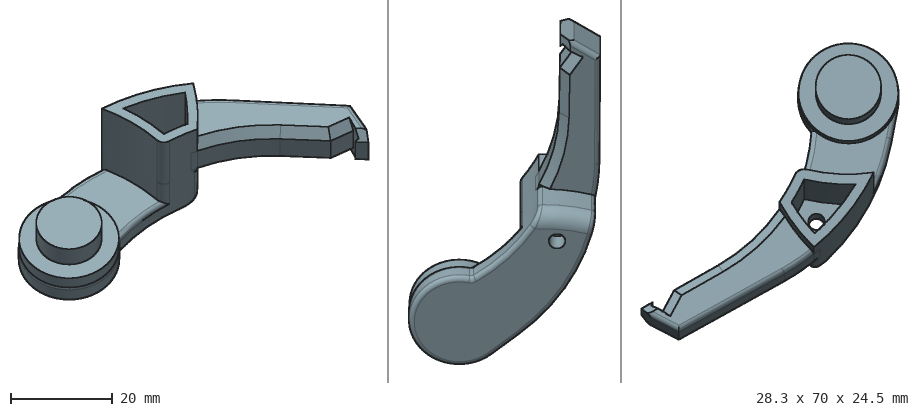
import cadquery as cq
import math


BOSS_RADIUS = 9.95
FLANGE_RADIUS = 9.8
PIN_RADIUS = 6.45
FOOT_HEIGHT = 5.05
FLANGE_TOP = 7.55
PIN_TOP = 12.6

OUTER_RADIUS = 43.7
OUTER_CENTER = (30.15, 16.8)
INNER_RADIUS = 37.1
INNER_CENTER = (36.95, 24.85)

COLUMN_TOP = 24.5
COLUMN_OUTER_Y = (15.0, 33.7)
COLUMN_INNER_Y = (21.0, 28.8)
COLUMN_LOWER_MID = (-7.6, 18.5)
COLUMN_UPPER_MID = (-4.9, 31.7)
COLUMN_CORNER = 1.95
WALL = 2.0
HEEL_RADIUS = 3.5
HOLE_RADIUS = 1.6
HOLE_CENTER = (-6.4, 25.5)

ARM_BOTTOM = 9.9
ARM_TOP = 19.4
ARM_ROOT_DEPTH = 1.4
ARM_OUTER_BEND_Y = 40.0
ARM_INNER_BEND_Y = 44.4
TIP_Y = 70 - BOSS_RADIUS
TIP_CORNER_X = 5.95
NOTCH_X = 10.8
NOTCH_Y = (52.9, 58.0)
HOOK_CREST_X = 12.2
HOOK_POINT = (14.75, 59.2)
HOOK_BARB = (13.35, 56.95)
HOOK_THROAT = (13.2, 57.8)
ARM_CHAMFER = 1.95

EDGE_ROUND = 1.05
CREASE_RADIUS = 1.05

COLUMN_SPLIT = ARM_BOTTOM + EDGE_ROUND


def point_on_side(center, radius, y):
    """Point at height y on the -X half of a circle."""
    return (center[0] - math.sqrt(radius**2 - (y - center[1])**2), y)


def outer(y):
    return point_on_side(OUTER_CENTER, OUTER_RADIUS, y)


def inner(y):
    return point_on_side(INNER_CENTER, INNER_RADIUS, y)


def side_arc(sketch, side, start_y, end_y):
    return sketch.threePointArc(side((start_y + end_y) / 2), side(end_y))


def midpoint(start, end):
    return ((start[0] + end[0]) / 2, (start[1] + end[1]) / 2)


def edges_near(body, points):
    """Select the edge of the body nearest to each point."""
    edges = [body.edges(cq.selectors.NearestToPointSelector(point)).val() for point in points]
    return body.newObject(edges)


def column_outline():
    sketch = cq.Workplane("XY").moveTo(*outer(COLUMN_OUTER_Y[0]))
    sketch = side_arc(sketch, outer, *COLUMN_OUTER_Y)
    sketch = sketch.threePointArc(COLUMN_UPPER_MID, inner(COLUMN_INNER_Y[1]))
    sketch = side_arc(sketch, inner, COLUMN_INNER_Y[1], COLUMN_INNER_Y[0])
    return sketch.threePointArc(COLUMN_LOWER_MID, outer(COLUMN_OUTER_Y[0])).close()


def make_column(height):
    column = column_outline().extrude(height)
    return edges_near(column, [(*inner(COLUMN_INNER_Y[0]), height / 2)]).fillet(COLUMN_CORNER)


def make_foot():
    center_distance = math.hypot(*OUTER_CENTER)
    tangent_angle = math.atan2(OUTER_CENTER[1], OUTER_CENTER[0]) - math.acos(
        (OUTER_RADIUS - BOSS_RADIUS) / center_distance
    )
    arc_end_y = OUTER_CENTER[1] - OUTER_RADIUS * math.sin(tangent_angle)
    boss_tangent = (-BOSS_RADIUS * math.cos(tangent_angle), -BOSS_RADIUS * math.sin(tangent_angle))

    span = math.hypot(*INNER_CENTER)
    along = (span**2 + BOSS_RADIUS**2 - INNER_RADIUS**2) / (2 * span)
    meet_angle = math.atan2(INNER_CENTER[1], INNER_CENTER[0]) + math.acos(along / BOSS_RADIUS)
    boss_meet = (BOSS_RADIUS * math.cos(meet_angle), BOSS_RADIUS * math.sin(meet_angle))

    root_outer_y = COLUMN_OUTER_Y[0] + WALL
    root_inner_y = COLUMN_INNER_Y[0] + WALL
    sketch = cq.Workplane("XY").moveTo(*outer(root_outer_y))
    sketch = side_arc(sketch, outer, root_outer_y, arc_end_y)
    sketch = sketch.lineTo(*boss_tangent)
    sketch = sketch.threePointArc((BOSS_RADIUS, 0), boss_meet)
    sketch = side_arc(sketch, inner, boss_meet[1], root_inner_y)
    foot = sketch.close().extrude(FOOT_HEIGHT)
    foot = edges_near(foot, [(*boss_meet, FOOT_HEIGHT / 2)]).fillet(CREASE_RADIUS)
    return edges_near(foot, [(BOSS_RADIUS, 0, FOOT_HEIGHT)]).fillet(EDGE_ROUND)


def make_base():
    """Foot and lower part of the column, with a rounded heel and rounded edges."""
    base = make_foot().union(make_column(COLUMN_SPLIT))
    base = edges_near(base, [(*COLUMN_UPPER_MID, 0)]).fillet(HEEL_RADIUS)
    return base.faces("<Z").edges().fillet(EDGE_ROUND)


def make_pivot():
    flange = cq.Workplane("XY").workplane(offset=FOOT_HEIGHT / 2).circle(FLANGE_RADIUS)
    flange = flange.extrude(FLANGE_TOP - FOOT_HEIGHT / 2)
    return flange.faces(">Z").workplane().circle(PIN_RADIUS).extrude(PIN_TOP - FLANGE_TOP)


def make_arm():
    root_outer_y = COLUMN_OUTER_Y[1] - ARM_ROOT_DEPTH
    root_inner_y = COLUMN_INNER_Y[1] - ARM_ROOT_DEPTH
    sketch = cq.Workplane("XY").workplane(offset=ARM_BOTTOM).moveTo(*outer(root_outer_y))
    sketch = side_arc(sketch, outer, root_outer_y, ARM_OUTER_BEND_Y)
    sketch = sketch.lineTo(TIP_CORNER_X, TIP_Y).lineTo(HOOK_CREST_X, TIP_Y)
    sketch = sketch.lineTo(*HOOK_POINT).lineTo(*HOOK_BARB).lineTo(*HOOK_THROAT)
    sketch = sketch.lineTo(NOTCH_X, NOTCH_Y[1]).lineTo(NOTCH_X, NOTCH_Y[0])
    sketch = sketch.lineTo(*inner(ARM_INNER_BEND_Y))
    sketch = side_arc(sketch, inner, ARM_INNER_BEND_Y, root_inner_y)
    arm = sketch.close().extrude(ARM_TOP - ARM_BOTTOM)

    inner_bend = inner(ARM_INNER_BEND_Y)
    chamfered = [
        inner((root_inner_y + ARM_INNER_BEND_Y) / 2),
        midpoint(inner_bend, (NOTCH_X, NOTCH_Y[0])),
        (NOTCH_X, sum(NOTCH_Y) / 2),
        midpoint(HOOK_POINT, HOOK_BARB),
    ]
    rounded = [
        outer((root_outer_y + ARM_OUTER_BEND_Y) / 2),
        midpoint(outer(ARM_OUTER_BEND_Y), (TIP_CORNER_X, TIP_Y)),
        midpoint((TIP_CORNER_X, TIP_Y), (HOOK_CREST_X, TIP_Y)),
    ]
    levels = (ARM_BOTTOM, ARM_TOP)
    arm = edges_near(arm, [(*spot, z) for spot in chamfered for z in levels]).chamfer(ARM_CHAMFER)
    return edges_near(arm, [(*spot, z) for spot in rounded for z in levels]).fillet(EDGE_ROUND)


def make_pocket():
    pocket = column_outline().offset2D(-WALL, "intersection").extrude(COLUMN_TOP)
    return pocket.translate((0, 0, FOOT_HEIGHT))


def make_hole():
    return cq.Workplane("XY").center(*HOLE_CENTER).circle(HOLE_RADIUS).extrude(COLUMN_TOP)


upper_column = make_column(COLUMN_TOP - COLUMN_SPLIT).translate((0, 0, COLUMN_SPLIT))
lever = make_base().union(upper_column).union(make_pivot()).union(make_arm())
result = lever.cut(make_pocket()).cut(make_hole())